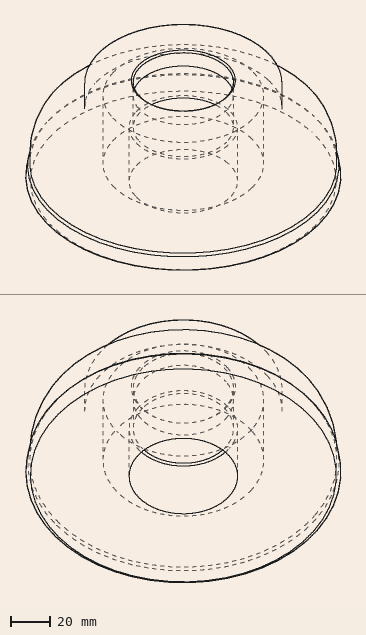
import cadquery as cq
import math

rim_radius = 80.0
height = 63.0

hub_radius = 50.0
hub_round = 2.0
hub_wall_bottom = 46.7

neck_radius, neck_height = 53.8, 41.8
shoulder_radius, shoulder_height = 57.1, 41.0
slope_top_radius, slope_top_height = 64.5, 38.0
slope_bottom_radius, slope_bottom_height = 70.5, 34.5
flank_top_radius, flank_top_height = 74.9, 30.2
flank_bottom_radius, flank_bottom_height = 75.5, 28.8
side_radius, side_top = 78.0, 16.3

seat_height = 11.2

rim_bands_bottom = 3.2
rim_bands = [(1.04, 0.2), (1.0, 0.22), (1.0, 0.2), (1.0, 0.08), (2.5, 0.37)]

rim_round = 2.4
rim_round_sweep = math.radians(70)
bevel_radius, bevel_height = 77.6, 0.5
foot_radius = 75.2

bore_radius = 25.5
bore_chamfer = 1.0
boss_top = 53.8
narrow_bore_length = 20.0
wide_bore_radius = 27.5

cap_thickness = height - boss_top
boss_radius = hub_radius - cap_thickness


def spin(profile):
    """Revolve a closed half-section about the Z axis."""
    return profile.revolve(360, (0, 0, 0), (0, 1, 0))


def rim_band_points():
    """Corners of the tapered bands, from the top of the rim down to its widest point."""
    radius = rim_radius
    level = rim_bands_bottom
    points = [(radius, level)]
    for band_height, band_run in rim_bands:
        radius -= band_run
        level += band_height
        points.append((radius, level))
    return points[::-1]


def rim_round_point(angle):
    """Point on the rounded lower edge of the rim, at an angle below horizontal."""
    return (
        rim_radius - rim_round * (1 - math.cos(angle)),
        rim_bands_bottom - rim_round * math.sin(angle),
    )


def make_cap():
    """Bell-shaped cap with a hub, recessed from below for the boss of the base."""
    profile = (
        cq.Workplane("XZ")
        .moveTo(bore_radius + bore_chamfer, height)
        .lineTo(hub_radius - hub_round, height)
        .tangentArcPoint((hub_radius, height - hub_round), relative=False)
        .lineTo(hub_radius, hub_wall_bottom)
        .tangentArcPoint((neck_radius, neck_height), relative=False)
        .lineTo(shoulder_radius, shoulder_height)
        .tangentArcPoint((slope_top_radius, slope_top_height), relative=False)
        .lineTo(slope_bottom_radius, slope_bottom_height)
        .tangentArcPoint((flank_top_radius, flank_top_height), relative=False)
        .lineTo(flank_bottom_radius, flank_bottom_height)
        .tangentArcPoint((side_radius, side_top), relative=False)
        .lineTo(side_radius, seat_height)
        .lineTo(boss_radius, seat_height)
        .lineTo(boss_radius, boss_top)
        .lineTo(bore_radius, boss_top)
        .lineTo(bore_radius, height - bore_chamfer)
        .close()
    )
    return spin(profile)


def make_base():
    """Round base with a flared rim and a bored boss that fills the recess of the cap."""
    profile = (
        cq.Workplane("XZ")
        .moveTo(bore_radius, boss_top)
        .lineTo(boss_radius, boss_top)
        .lineTo(boss_radius, seat_height)
        .lineTo(side_radius, seat_height)
    )
    for point in rim_band_points():
        profile = profile.lineTo(*point)
    narrow_bore_bottom = boss_top - narrow_bore_length
    profile = (
        profile.threePointArc(rim_round_point(rim_round_sweep / 2), rim_round_point(rim_round_sweep))
        .lineTo(bevel_radius, bevel_height)
        .lineTo(foot_radius, 0)
        .lineTo(wide_bore_radius, 0)
        .lineTo(wide_bore_radius, narrow_bore_bottom)
        .lineTo(bore_radius, narrow_bore_bottom)
        .close()
    )
    return spin(profile)


cap = make_cap()
base = make_base()
result = cq.Compound.makeCompound([cap.val(), base.val()])